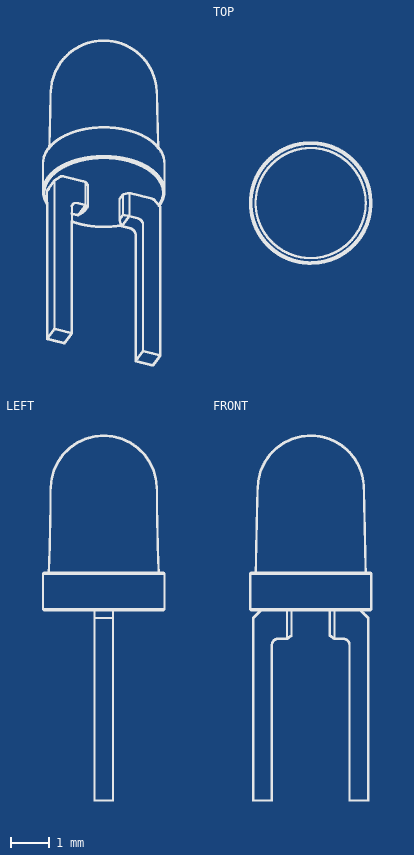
import cadquery as cq

total_height = 9.6
flange_diameter = 3.2
flange_flat_diameter = 3.12
flange_height = 1.0
barrel_base_radius = 1.45
dome_radius = 1.4

lead_length = 5.0
lead_thickness = 0.5
lead_outer_x = 1.52
head_inner_x = 0.5
head_height = 0.75
shoulder_chamfer = 0.2
head_edge_chamfer = 0.12
head_bottom_rise = 0.09
neck_fillet = 0.16

flange_radius = flange_diameter / 2
flange_edge_chamfer = (flange_diameter - flange_flat_diameter) / 2
flange_top = lead_length + flange_height
dome_base = total_height - dome_radius
head_bottom = lead_length - head_height
lead_inner_x = lead_outer_x - lead_thickness


def make_lens():
    flange = (
        cq.Workplane("XY", origin=(0, 0, lead_length))
        .circle(flange_radius)
        .extrude(flange_height)
        .faces("<Z or >Z")
        .edges()
        .chamfer(flange_edge_chamfer)
    )
    dome_middle = dome_radius * 0.5 ** 0.5
    barrel = (
        cq.Workplane("XZ")
        .moveTo(0, flange_top)
        .lineTo(barrel_base_radius, flange_top)
        .lineTo(dome_radius, dome_base)
        .threePointArc((dome_middle, dome_base + dome_middle), (0, total_height))
        .close()
        .revolve(360, (0, 0, 0), (0, 1, 0))
    )
    return flange.union(barrel)


def make_lead():
    """Lead on the +X side, with its head reaching towards the axis."""
    lead = (
        cq.Workplane("XZ")
        .moveTo(lead_outer_x, 0)
        .lineTo(lead_outer_x, lead_length - shoulder_chamfer)
        .lineTo(lead_outer_x - shoulder_chamfer, lead_length)
        .lineTo(head_inner_x, lead_length)
        .lineTo(head_inner_x, head_bottom + head_bottom_rise)
        .lineTo(head_inner_x + head_edge_chamfer, head_bottom)
        .lineTo(lead_inner_x, head_bottom)
        .lineTo(lead_inner_x, 0)
        .close()
        .extrude(lead_thickness / 2, both=True)
    )
    neck_corner = cq.selectors.NearestToPointSelector((lead_inner_x, 0, head_bottom))
    lead = lead.edges(neck_corner).fillet(neck_fillet)
    return lead.faces("<X").edges("|Z").chamfer(head_edge_chamfer)


right_lead = make_lead()
left_lead = right_lead.mirror("YZ")
result = make_lens().union(right_lead).union(left_lead)